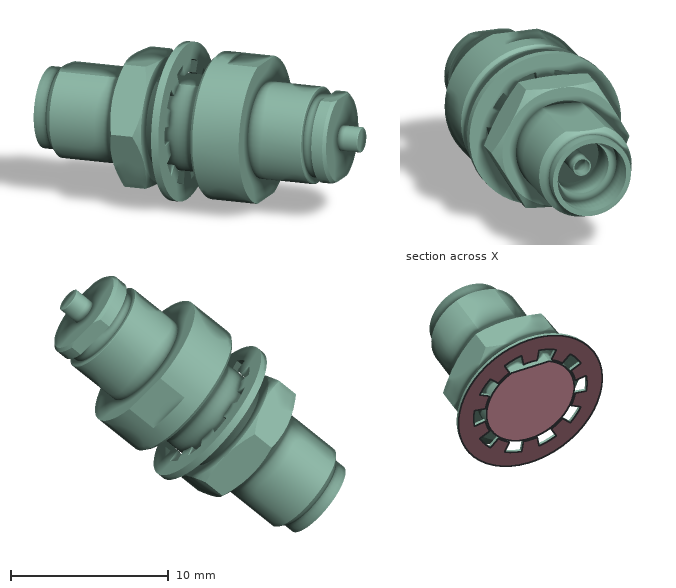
import cadquery as cq
import math


total_length = 21.35
tip_end = 0.81
thread_start = 1.25
flange_start = 11.42
flange_end = 14.8
barrel_end = 18.4
rear_ring_start = 19.07
rear_ring_end = 20.0

tip_radius = 2.63
barrel_radius = 3.12
flange_radius = 4.75
rear_ring_radius = 3.0
rear_neck_radius = 2.7
tail_radius = 0.81

flange_chamfer = 0.21
rear_ring_chamfer = 0.2
edge_chamfer = 0.05

barrel_flat_height = 2.82
flange_flat_height = 4.5
flange_flat_start = 12.75
rear_flat_height = 2.7

socket_radius = 2.3
socket_depth = 1.9
inner_bore_radius = 1.77
inner_bore_depth = 3.85
contact_radius = 0.6
contact_hole_radius = 0.51
contact_hole_depth = 1.92
contact_tip = socket_depth

nut_sides = 6
nut_start = 5.7
nut_thickness = 2.15
nut_across_flats = 8.05
nut_chamfer_angle = 30.0
countersink_depth = barrel_radius - barrel_flat_height

washer_start = 8.97
washer_thickness = 0.5
washer_radius = 5.1
tooth_tip_radius = 3.2
tooth_root_radius = 4.0
tooth_count = 10
gap_share = 0.5


def turned(profile):
    """Solid of revolution about X from (x, radius) points."""
    return cq.Workplane("XY").polyline(profile).close().revolve(360, (0, 0, 0), (1, 0, 0))


def cylinder(start, length, radius):
    """Cylinder on the X axis."""
    return cq.Workplane("YZ", origin=(start, 0, 0)).circle(radius).extrude(length)


def slab(start, end, bottom, top):
    """Block between two X places and two heights, wider than any body."""
    width = 4 * flange_radius
    block = cq.Workplane("XY").box(end - start, width, top - bottom, centered=(False, True, False))
    return block.translate((start, 0, bottom))


def make_connector_blank():
    return turned([
        (0, 0),
        (0, tip_radius),
        (tip_end, tip_radius),
        (thread_start, barrel_radius),
        (flange_start, barrel_radius),
        (flange_start, flange_radius - flange_chamfer),
        (flange_start + flange_chamfer, flange_radius),
        (flange_end, flange_radius),
        (flange_end, barrel_radius),
        (barrel_end - edge_chamfer, barrel_radius),
        (barrel_end, barrel_radius - edge_chamfer),
        (barrel_end, rear_neck_radius),
        (rear_ring_start, rear_neck_radius),
        (rear_ring_start, rear_ring_radius),
        (rear_ring_end - rear_ring_chamfer, rear_ring_radius),
        (rear_ring_end, rear_ring_radius - rear_ring_chamfer),
        (rear_ring_end, tail_radius),
        (total_length - edge_chamfer, tail_radius),
        (total_length, tail_radius - edge_chamfer),
        (total_length, 0),
    ])


def cut_flats(body):
    """One flat along the threaded end; opposite pairs on the flange and on the rear ring."""
    beyond = 2 * flange_radius
    body = body.cut(slab(0, flange_start, barrel_flat_height, beyond))
    for side in (0, 180):
        flange_cut = slab(flange_flat_start, flange_end, flange_flat_height, beyond)
        rear_cut = slab(rear_ring_start, rear_ring_end, rear_flat_height, beyond)
        body = body.cut(flange_cut.rotate((0, 0, 0), (1, 0, 0), side))
        body = body.cut(rear_cut.rotate((0, 0, 0), (1, 0, 0), side))
    return body


def cut_socket(body):
    body = body.cut(cylinder(0, socket_depth, socket_radius))
    return body.cut(cylinder(0, inner_bore_depth, inner_bore_radius))


def make_contact():
    """Tubular contact that stands on the floor of the inner bore."""
    contact = cylinder(contact_tip, inner_bore_depth - contact_tip, contact_radius)
    return contact.cut(cylinder(contact_tip, contact_hole_depth, contact_hole_radius))


def make_connector():
    body = cut_socket(cut_flats(make_connector_blank()))
    return body.union(make_contact())


def make_nut(connector):
    """Chamfered hex nut, countersunk at both ends, whose bore follows the flatted barrel."""
    corner_diameter = nut_across_flats / math.cos(math.radians(180 / nut_sides))
    half_flats = nut_across_flats / 2
    rise = corner_diameter / 2 - half_flats
    setback = rise * math.tan(math.radians(nut_chamfer_angle))
    nut_end = nut_start + nut_thickness
    hexagon = (
        cq.Workplane("YZ", origin=(nut_start, 0, 0))
        .polygon(nut_sides, corner_diameter)
        .extrude(nut_thickness)
    )
    envelope = turned([
        (nut_start, 0),
        (nut_start, half_flats),
        (nut_start + setback, half_flats + rise),
        (nut_end - setback, half_flats + rise),
        (nut_end, half_flats),
        (nut_end, 0),
    ])
    nut = hexagon.intersect(envelope)
    countersinks = turned([
        (nut_start, 0),
        (nut_start, barrel_radius),
        (nut_start + countersink_depth, barrel_radius - countersink_depth),
        (nut_end - countersink_depth, barrel_radius - countersink_depth),
        (nut_end, barrel_radius),
        (nut_end, 0),
    ])
    return nut.cut(countersinks).cut(connector)


def make_tooth_gap():
    """Radial gap between two teeth, centred on the +Y direction."""
    half_angle = math.radians(360 / tooth_count) * gap_share / 2
    root_y = tooth_root_radius * math.cos(half_angle)
    root_z = tooth_root_radius * math.sin(half_angle)
    return (
        cq.Workplane("YZ", origin=(washer_start, 0, 0))
        .lineTo(root_y, -root_z)
        .threePointArc((tooth_root_radius, 0), (root_y, root_z))
        .close()
        .extrude(washer_thickness)
    )


def make_washer():
    washer = cylinder(washer_start, washer_thickness, washer_radius)
    washer = washer.cut(cylinder(washer_start, washer_thickness, tooth_tip_radius))
    gap = make_tooth_gap()
    for index in range(tooth_count):
        angle = index * 360 / tooth_count
        washer = washer.cut(gap.rotate((0, 0, 0), (1, 0, 0), angle))
    return washer


connector = make_connector()
nut = make_nut(connector)
washer = make_washer()
result = cq.Compound.makeCompound([connector.val(), nut.val(), washer.val()])